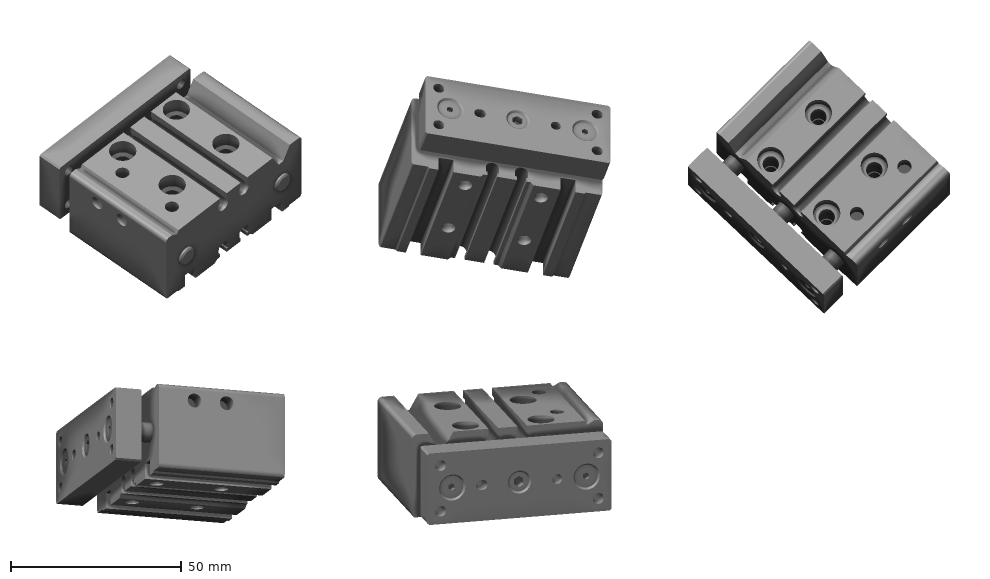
import cadquery as cq
import math


HOUSING_START = 13.0
HOUSING_LENGTH = 39.0
HOUSING_WIDTH = 58.0
HOUSING_HEIGHT = 26.0
HALF_WIDTH = HOUSING_WIDTH / 2
TOP = HOUSING_HEIGHT / 2
BOTTOM = -TOP
TOP_CORNER_RADIUS = 1.35
BOTTOM_CORNER_RADIUS = 1.8

NOTCH_INNER_Y = -23.55
NOTCH_TIP_Y = -24.25
NOTCH_OUTER_Y = -26.35
NOTCH_DEPTH = 1.15

GROOVE_Y = 20.3
GROOVE_TOP_WIDTH = 7.4
GROOVE_FLOOR_WIDTH = 1.85
GROOVE_DEPTH = (GROOVE_TOP_WIDTH - GROOVE_FLOOR_WIDTH) / 2 * math.tan(math.radians(60))

SENSOR_SLOT_Y = 4.4
SENSOR_NECK_WIDTH = 2.9
SENSOR_NECK_DEPTH = 2.4
SENSOR_CHANNEL_WIDTH = 4.0
SENSOR_CHANNEL_CENTRE_DEPTH = 4.0

EDGE_STEP = 0.5
EDGE_STEP_START_Y = 24.0
CENTRE_STEP = 1.0
CENTRE_STEP_END_Y = 7.1
MOUNT_SLOT_Y = 18.5
MOUNT_SLOT_WIDTH = 4.5
MOUNT_SLOT_DEPTH = 4.65

MOUNT_HOLE_X = 18.0
MOUNT_HOLE_SPACING_X = 20.0
MOUNT_HOLE_Y = 11.5
COUNTERBORE_DIAMETER = 8.0
COUNTERBORE_DEPTH = 4.8
CLEARANCE_DIAMETER = 4.8
THREAD_DIAMETER = 4.2
THREAD_LENGTH = 10.0

PORT_DIAMETER = 4.2
PORT_DEPTH = 5.8
TOP_PORT_X = 24.0
TOP_PORT_SPACING = 20.0
TOP_PORT_Y = -18.0
SIDE_PORT_X = 24.0
SIDE_PORT_SPACING = 10.0
SIDE_PORT_Z = 8.5

PLATE_THICKNESS = 8.0
PLATE_WIDTH = 56.0
PLATE_HEIGHT = 22.0
PLATE_EDGE_CHAMFER = 0.5

CORNER_HOLE_DIAMETER = 3.3
CORNER_HOLE_Y = 24.0
CORNER_HOLE_Z = 7.0

LOCATING_HOLE_Y = 11.5
LOCATING_HOLE_DIAMETER = 3.0
LOCATING_SLOT_LENGTH = 3.5
LOCATING_SLOT_DEPTH = PLATE_THICKNESS / 2

ROD_DIAMETER = 6.0
GUIDE_ROD_SPACING = 40.95
GUIDE_ROD_Y = GUIDE_ROD_SPACING / 2
ROD_END = 53.0
ROD_END_CHAMFER = 0.45
PISTON_ROD_END = HOUSING_START + HOUSING_LENGTH / 2

GUIDE_RECESS_DIAMETER = 8.0
PISTON_RECESS_DIAMETER = 7.0
RECESS_DEPTH = 0.5
GUIDE_HEX_ACROSS_FLATS = 1.85
GUIDE_HEX_DEPTH = 2.05
PISTON_HEX_ACROSS_FLATS = 2.95
PISTON_HEX_DEPTH = 2.9


def rod(y, start, end):
    """Round bar along X at height zero."""
    return (
        cq.Workplane("YZ", origin=(start, y, 0))
        .circle(ROD_DIAMETER / 2)
        .extrude(end - start)
    )


def along_housing(sketch):
    """Extrude a YZ sketch over the full length of the housing."""
    return sketch.extrude(HOUSING_LENGTH)


def section_plane():
    """YZ plane at the end of the housing that faces the plate."""
    return cq.Workplane("YZ", origin=(HOUSING_START, 0, 0))


def rounded_block():
    """Block with rounded long edges; the outer strips of its bottom are set up a little."""
    core = along_housing(section_plane().rect(HOUSING_WIDTH, HOUSING_HEIGHT))
    core = core.edges("|X and >Z").fillet(TOP_CORNER_RADIUS)
    core = core.edges("|X and <Z").fillet(BOTTOM_CORNER_RADIUS)
    for side in (-1, 1):
        step = along_housing(
            section_plane().polyline([
                (side * (EDGE_STEP_START_Y - EDGE_STEP), BOTTOM),
                (side * EDGE_STEP_START_Y, BOTTOM + EDGE_STEP),
                (side * HALF_WIDTH, BOTTOM + EDGE_STEP),
                (side * HALF_WIDTH, BOTTOM),
            ]).close()
        )
        core = core.cut(step)
    return core


def edge_notch():
    return along_housing(
        section_plane().polyline([
            (NOTCH_INNER_Y, TOP),
            (NOTCH_TIP_Y, TOP - NOTCH_DEPTH),
            (NOTCH_OUTER_Y, TOP),
        ]).close()
    )


def trapezoid_groove():
    half_top = GROOVE_TOP_WIDTH / 2
    half_floor = GROOVE_FLOOR_WIDTH / 2
    floor = TOP - GROOVE_DEPTH
    return along_housing(
        section_plane().polyline([
            (GROOVE_Y - half_top, TOP),
            (GROOVE_Y - half_floor, floor),
            (GROOVE_Y + half_floor, floor),
            (GROOVE_Y + half_top, TOP),
        ]).close()
    )


def sensor_slot(y, face):
    """Slot open to the top (face = 1) or the bottom (face = -1)."""
    half_neck = SENSOR_NECK_WIDTH / 2
    half_channel = SENSOR_CHANNEL_WIDTH / 2
    mouth = face * TOP
    shoulder = face * (TOP - SENSOR_NECK_DEPTH)
    centre = face * (TOP - SENSOR_CHANNEL_CENTRE_DEPTH)
    return along_housing(
        section_plane()
        .moveTo(y - half_neck, mouth)
        .lineTo(y - half_neck, shoulder)
        .lineTo(y - half_channel, shoulder)
        .lineTo(y - half_channel, centre)
        .threePointArc((y, centre - face * half_channel), (y + half_channel, centre))
        .lineTo(y + half_channel, shoulder)
        .lineTo(y + half_neck, shoulder)
        .lineTo(y + half_neck, mouth)
        .close()
    )


def bottom_centre_step():
    """Shallow recess with sloping ends along the middle of the bottom face."""
    return along_housing(
        section_plane().polyline([
            (-CENTRE_STEP_END_Y - CENTRE_STEP, BOTTOM),
            (-CENTRE_STEP_END_Y, BOTTOM + CENTRE_STEP),
            (CENTRE_STEP_END_Y, BOTTOM + CENTRE_STEP),
            (CENTRE_STEP_END_Y + CENTRE_STEP, BOTTOM),
        ]).close()
    )


def bottom_mount_slot(y):
    return along_housing(
        section_plane()
        .center(y, BOTTOM + MOUNT_SLOT_DEPTH / 2)
        .rect(MOUNT_SLOT_WIDTH, MOUNT_SLOT_DEPTH)
    )


def mounting_hole(x, y):
    """Counterbore and clearance hole from the top, thread hole through the bottom."""
    top_plane = cq.Workplane("XY", origin=(x, y, TOP))
    counterbore = top_plane.circle(COUNTERBORE_DIAMETER / 2).extrude(-COUNTERBORE_DEPTH)
    clearance = top_plane.circle(CLEARANCE_DIAMETER / 2).extrude(THREAD_LENGTH - HOUSING_HEIGHT)
    thread = top_plane.circle(THREAD_DIAMETER / 2).extrude(-HOUSING_HEIGHT)
    return counterbore.union(clearance).union(thread)


def top_port(x):
    plane = cq.Workplane("XY", origin=(x, TOP_PORT_Y, TOP))
    return plane.circle(PORT_DIAMETER / 2).extrude(-PORT_DEPTH)


def side_port(x):
    plane = cq.Workplane("XZ", origin=(x, -HALF_WIDTH, SIDE_PORT_Z))
    return plane.circle(PORT_DIAMETER / 2).extrude(-PORT_DEPTH)


def make_housing():
    body = rounded_block()
    body = body.cut(edge_notch()).cut(trapezoid_groove()).cut(bottom_centre_step())
    for side in (-1, 1):
        for face in (-1, 1):
            body = body.cut(sensor_slot(side * SENSOR_SLOT_Y, face))
        body = body.cut(bottom_mount_slot(side * MOUNT_SLOT_Y))
        body = body.cut(rod(side * GUIDE_ROD_Y, HOUSING_START, HOUSING_START + HOUSING_LENGTH))
    body = body.cut(rod(0, HOUSING_START, PISTON_ROD_END))
    for index in (0, 1):
        for side in (-1, 1):
            hole_x = MOUNT_HOLE_X + index * MOUNT_HOLE_SPACING_X
            body = body.cut(mounting_hole(hole_x, side * MOUNT_HOLE_Y))
        body = body.cut(top_port(TOP_PORT_X + index * TOP_PORT_SPACING))
        body = body.cut(side_port(SIDE_PORT_X + index * SIDE_PORT_SPACING))
    return body


def front_plane(y):
    """YZ plane on the front of the end plate, centred at y."""
    return cq.Workplane("YZ", origin=(0, y, 0))


def tapered_recess(y, diameter):
    """Shallow recess whose wall slopes inwards at 45 degrees."""
    return front_plane(y).circle(diameter / 2).extrude(RECESS_DEPTH, taper=45)


def plate_block():
    block = front_plane(0).rect(PLATE_WIDTH, PLATE_HEIGHT).extrude(PLATE_THICKNESS)
    return block.edges("|X").chamfer(PLATE_EDGE_CHAMFER)


def plate_holes():
    """Four corner holes and two locating holes, one of them elongated in the front of the plate."""
    corner_holes = (
        front_plane(0)
        .rect(2 * CORNER_HOLE_Y, 2 * CORNER_HOLE_Z, forConstruction=True)
        .vertices()
        .circle(CORNER_HOLE_DIAMETER / 2)
        .extrude(PLATE_THICKNESS)
    )
    locating_holes = (
        front_plane(0)
        .pushPoints([(-LOCATING_HOLE_Y, 0), (LOCATING_HOLE_Y, 0)])
        .circle(LOCATING_HOLE_DIAMETER / 2)
        .extrude(PLATE_THICKNESS)
    )
    elongation = (
        front_plane(LOCATING_HOLE_Y)
        .slot2D(LOCATING_SLOT_LENGTH, LOCATING_HOLE_DIAMETER)
        .extrude(LOCATING_SLOT_DEPTH)
    )
    return corner_holes.add(locating_holes).add(elongation).combine()


def rod_socket(y, recess_diameter, across_flats, hex_depth):
    """Tapered recess with a hexagon socket that has corners at its top and bottom."""
    corner_diameter = across_flats / math.cos(math.radians(30))
    hexagon = (
        front_plane(y)
        .transformed(rotate=(0, 0, 90))
        .polygon(6, corner_diameter)
        .extrude(hex_depth)
    )
    return tapered_recess(y, recess_diameter).union(hexagon)


def make_moving_plate():
    body = plate_block().cut(plate_holes())
    body = body.union(rod(0, PLATE_THICKNESS, PISTON_ROD_END))
    body = body.cut(
        rod_socket(0, PISTON_RECESS_DIAMETER, PISTON_HEX_ACROSS_FLATS, PISTON_HEX_DEPTH)
    )
    for side in (-1, 1):
        y = side * GUIDE_ROD_Y
        guide_rod = rod(y, PLATE_THICKNESS, ROD_END).faces(">X").chamfer(ROD_END_CHAMFER)
        socket = rod_socket(y, GUIDE_RECESS_DIAMETER, GUIDE_HEX_ACROSS_FLATS, GUIDE_HEX_DEPTH)
        body = body.union(guide_rod).cut(socket)
    return body


housing = make_housing()
moving_plate = make_moving_plate()

result = cq.Compound.makeCompound([housing.val(), moving_plate.val()])